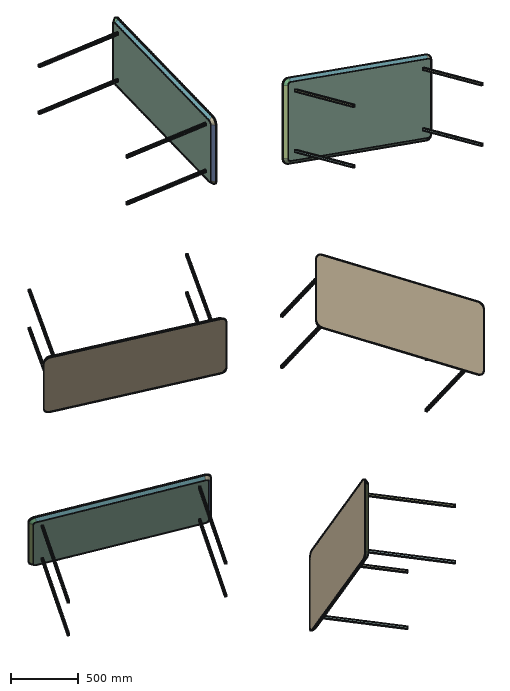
import cadquery as cq

top_length = 1400.0
top_width = 650.0
total_depth = 724.0

top_thickness = 35.0
edge_band = 8.0
bevel = top_thickness - edge_band
corner_radius = 50.0

leg_size_x = 14.0
leg_size_z = 18.0
leg_length = total_depth - top_thickness
leg_spacing_x = 1207.0
leg_spacing_z = 456.0


def make_top():
    """Rounded board from y = 0 to y = -top_thickness, bevelled on the leg side."""
    board = (
        cq.Workplane("XZ")
        .rect(top_length, top_width)
        .extrude(top_thickness)
        .edges("|Y")
        .fillet(corner_radius)
    )
    return board.faces("<Y").chamfer(bevel)


def make_legs():
    """Four legs standing on the bevelled side of the top."""
    return (
        cq.Workplane("XZ", origin=(0, -top_thickness, 0))
        .rect(leg_spacing_x, leg_spacing_z, forConstruction=True)
        .vertices()
        .rect(leg_size_x, leg_size_z)
        .extrude(leg_length)
    )


result = make_top().union(make_legs())